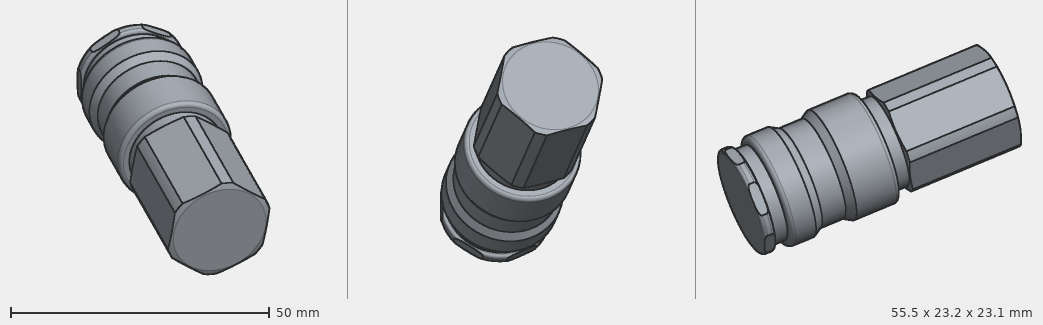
import cadquery as cq
import math


overall_length = 55.5
nut_length = 2.4
sleeve_front = 5.2
sleeve_rear = 28.7
hex_front = 31.6

nut_diameter = 22.0
nut_across_flats = 21.0
nut_rounding = 0.7
front_neck_diameter = 20.05
rear_neck_diameter = 18.95
hex_corner_diameter = 21.36
hex_across_flats = 19.6
hex_twist = -9.6
hex_chamfer_length = 0.36

sleeve_diameter = 23.15
waist_diameter = 21.0
front_band_end = 10.6
waist_start = 12.45
waist_end = 17.5
rear_band_start = 19.3
front_rim_radius = 1.0
rear_rim_radius = 0.9

hex_sides = 6
hex_side_angle = 360.0 / hex_sides


def cylinder(diameter, start, end):
    """Solid cylinder on the X axis between two stations."""
    return cq.Workplane("YZ", origin=(start, 0, 0)).circle(diameter / 2).extrude(end - start)


def hexagon(across_flats, start, end, twist):
    """Hexagonal bar on the X axis; with no twist, two flats face -Y and +Y."""
    across_corners = across_flats / math.cos(math.radians(hex_side_angle / 2))
    bar = cq.Workplane("YZ", origin=(start, 0, 0)).polygon(hex_sides, across_corners).extrude(end - start)
    first_flat_turn = hex_side_angle / 2
    return bar.rotate((0, 0, 0), (1, 0, 0), first_flat_turn + twist)


def revolve_about_x(profile):
    """Turn a closed profile, drawn in XY with Y as the radius, around the X axis."""
    return profile.close().revolve(360, (0, 0, 0), (1, 0, 0))


def make_nut():
    """Rounded disc with six flats that break through its rim."""
    disc = cylinder(nut_diameter, 0, nut_length).edges().fillet(nut_rounding)
    return disc.intersect(hexagon(nut_across_flats, 0, nut_length, 0))


def make_rear_hexagon():
    """Hexagon with turned corners and shallow conical chamfers at both ends."""
    corner_radius = hex_corner_diameter / 2
    end_radius = rear_neck_diameter / 2
    envelope = revolve_about_x(
        cq.Workplane("XY")
        .moveTo(hex_front, 0)
        .lineTo(hex_front, end_radius)
        .lineTo(hex_front + hex_chamfer_length, corner_radius)
        .lineTo(overall_length - hex_chamfer_length, corner_radius)
        .lineTo(overall_length, end_radius)
        .lineTo(overall_length, 0)
    )
    return envelope.intersect(hexagon(hex_across_flats, hex_front, overall_length, hex_twist))


def make_core():
    """Front nut, stepped neck and rear hexagon as one solid."""
    front_neck = cylinder(front_neck_diameter, nut_length, sleeve_front)
    rear_neck = cylinder(rear_neck_diameter, sleeve_front, hex_front)
    return make_nut().union(front_neck).union(rear_neck).union(make_rear_hexagon())


def make_sleeve():
    """Waisted ring with rounded rims, bored to fit the rear neck of the core."""
    bore_radius = rear_neck_diameter / 2
    band_radius = sleeve_diameter / 2
    waist_radius = waist_diameter / 2
    return revolve_about_x(
        cq.Workplane("XY")
        .moveTo(sleeve_front, bore_radius)
        .lineTo(sleeve_front, band_radius - front_rim_radius)
        .radiusArc((sleeve_front + front_rim_radius, band_radius), front_rim_radius)
        .lineTo(front_band_end, band_radius)
        .lineTo(waist_start, waist_radius)
        .lineTo(waist_end, waist_radius)
        .lineTo(rear_band_start, band_radius)
        .lineTo(sleeve_rear - rear_rim_radius, band_radius)
        .radiusArc((sleeve_rear, band_radius - rear_rim_radius), rear_rim_radius)
        .lineTo(sleeve_rear, bore_radius)
    )


core = make_core()
sleeve = make_sleeve()
result = cq.Compound.makeCompound([core.solids().val(), sleeve.val()])